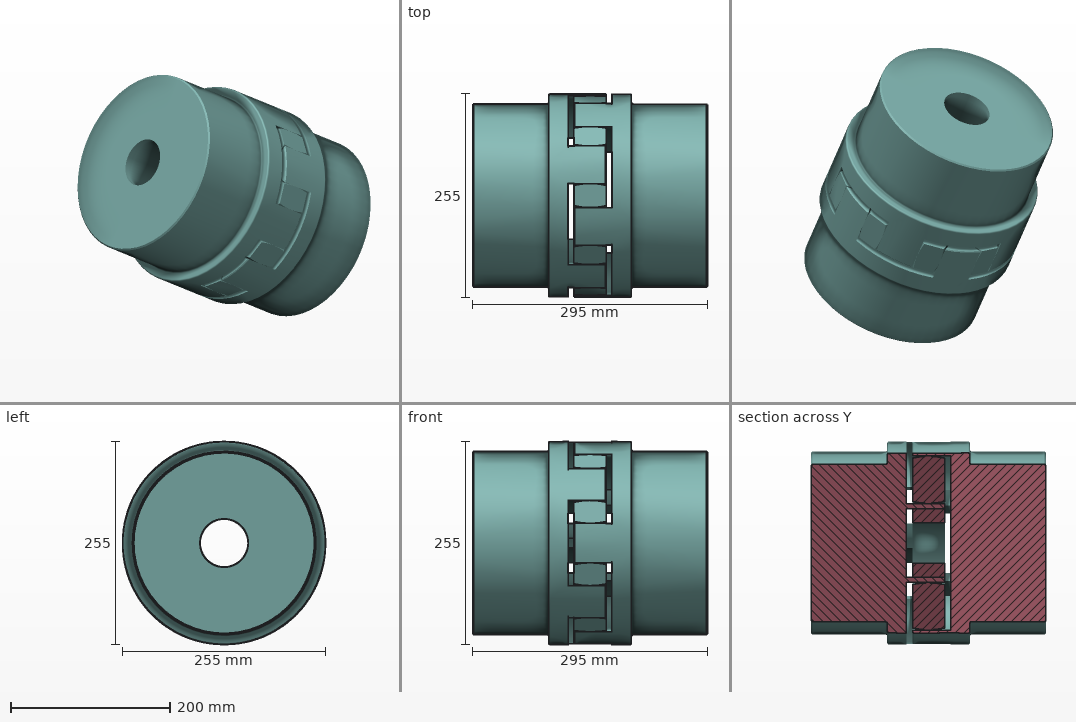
import cadquery as cq
import math


half_length = 147.5
hub_radius = 115.0
bore_radius = 30.0
end_chamfer = 1.8
flange_radius = 127.5
flange_outer_x = 52.0
flange_fillet = 2.0
neck_fillet = 2.0
flange_inner_x = 27.5

jaws_per_hub = 5
jaw_tip_x = 20.5
jaw_inner_radius = 72.3
jaw_outer_half_width = 24.8
jaw_inner_half_width = 6.2
jaw_side_radius = 59.0
jaw_tip_chamfer = 1.2
gap_cutter_reach = 1.2

spider_half_thickness = jaw_tip_x
spider_bore_radius = 63.5
tooth_crown = 2.0
tooth_tip_distance = 126.5

tooth_count = 2 * jaws_per_hub
jaw_pitch = 360.0 / jaws_per_hub
tooth_pitch = 360.0 / tooth_count

outer_corner_y = math.sqrt(flange_radius**2 - jaw_outer_half_width**2)
inner_corner_y = math.sqrt(jaw_inner_radius**2 - jaw_inner_half_width**2)
side_run = outer_corner_y - inner_corner_y
side_rise = jaw_outer_half_width - jaw_inner_half_width
side_chord = math.hypot(side_run, side_rise)
side_normal_y = -side_rise / side_chord
side_normal_z = side_run / side_chord
chord_to_centre = math.sqrt(jaw_side_radius**2 - (side_chord / 2)**2)
side_centre_y = (outer_corner_y + inner_corner_y) / 2 + side_normal_y * chord_to_centre
side_centre_z = (jaw_outer_half_width + jaw_inner_half_width) / 2 + side_normal_z * chord_to_centre
side_middle_y = side_centre_y - side_normal_y * jaw_side_radius
side_middle_z = side_centre_z - side_normal_z * jaw_side_radius

X_AXIS = ((0, 0, 0), (1, 0, 0))
Z_AXIS = ((0, 0, 0), (0, 0, 1))


def cylinder(radius, x_start, x_end):
    return cq.Workplane("YZ").workplane(offset=x_start).circle(radius).extrude(x_end - x_start)


def hub_blank():
    """Stepped and bored left hub whose jaws are still one closed ring with a chamfered outer tip edge."""
    return (
        cq.Workplane("XY")
        .moveTo(-half_length, bore_radius)
        .lineTo(-half_length, hub_radius - end_chamfer)
        .lineTo(-half_length + end_chamfer, hub_radius)
        .lineTo(-flange_outer_x - neck_fillet, hub_radius)
        .radiusArc((-flange_outer_x, hub_radius + neck_fillet), -neck_fillet)
        .lineTo(-flange_outer_x, flange_radius - flange_fillet)
        .radiusArc((-flange_outer_x + flange_fillet, flange_radius), flange_fillet)
        .lineTo(jaw_tip_x - jaw_tip_chamfer, flange_radius)
        .lineTo(jaw_tip_x, flange_radius - jaw_tip_chamfer)
        .lineTo(jaw_tip_x, jaw_inner_radius)
        .lineTo(-flange_inner_x, jaw_inner_radius)
        .lineTo(-flange_inner_x, bore_radius)
        .close()
        .revolve(360, *X_AXIS)
    )


def turned(y, z, angle):
    """The point (y, z) turned about the X axis by an angle in degrees."""
    cosine = math.cos(math.radians(angle))
    sine = math.sin(math.radians(angle))
    return (y * cosine - z * sine, y * sine + z * cosine)


def jaw_gap():
    """Cutter for the gap between the jaw at zero and the jaw one jaw pitch further."""
    outer_start = (outer_corner_y, jaw_outer_half_width)
    outer_end = turned(outer_corner_y, -jaw_outer_half_width, jaw_pitch)
    inner_end = turned(inner_corner_y, -jaw_inner_half_width, jaw_pitch)
    side_middle_end = turned(side_middle_y, -side_middle_z, jaw_pitch)
    return (
        cq.Workplane("YZ")
        .workplane(offset=-flange_inner_x)
        .moveTo(*outer_start)
        .threePointArc((side_middle_y, side_middle_z), (inner_corner_y, jaw_inner_half_width))
        .lineTo(*inner_end)
        .threePointArc(side_middle_end, outer_end)
        .lineTo(outer_end[0] * gap_cutter_reach, outer_end[1] * gap_cutter_reach)
        .lineTo(outer_start[0] * gap_cutter_reach, outer_start[1] * gap_cutter_reach)
        .close()
        .extrude(flange_inner_x + jaw_tip_x)
    )


def left_hub():
    hub = hub_blank()
    for index in range(jaws_per_hub):
        hub = hub.cut(jaw_gap().rotate(*X_AXIS, index * jaw_pitch))
    return hub


def crowned_disc():
    """Barrel on the X axis that matches a jaw side at mid-thickness and narrows toward both faces."""
    face_radius = jaw_side_radius - tooth_crown
    return (
        cq.Workplane("XY")
        .moveTo(-spider_half_thickness, 0)
        .lineTo(-spider_half_thickness, face_radius)
        .threePointArc((0, jaw_side_radius), (spider_half_thickness, face_radius))
        .lineTo(spider_half_thickness, 0)
        .close()
        .revolve(360, *X_AXIS)
    )


def tooth():
    """Lens-shaped spider tooth with a flat tip, pointing along +Y."""
    side_disc = crowned_disc().translate((0, side_centre_y, side_centre_z))
    lower_side = side_disc.rotate(*X_AXIS, -tooth_pitch / 2)
    upper_side = lower_side.mirror("XY")
    tip_block = (
        cq.Workplane("XZ")
        .rect(2 * spider_half_thickness, 2 * jaw_side_radius)
        .extrude(-tooth_tip_distance)
    )
    return lower_side.intersect(upper_side).intersect(tip_block)


def spider_body():
    spider = cylinder(jaw_inner_radius, -spider_half_thickness, spider_half_thickness)
    for index in range(tooth_count):
        spider = spider.union(tooth().rotate(*X_AXIS, (index + 0.5) * tooth_pitch))
    return spider.cut(cylinder(spider_bore_radius, -spider_half_thickness, spider_half_thickness))


hub_left = left_hub()
hub_right = hub_left.rotate(*Z_AXIS, 180)
spider = spider_body()

result = cq.Compound.makeCompound([hub_left.solids().val(), hub_right.solids().val(), spider.solids().val()])